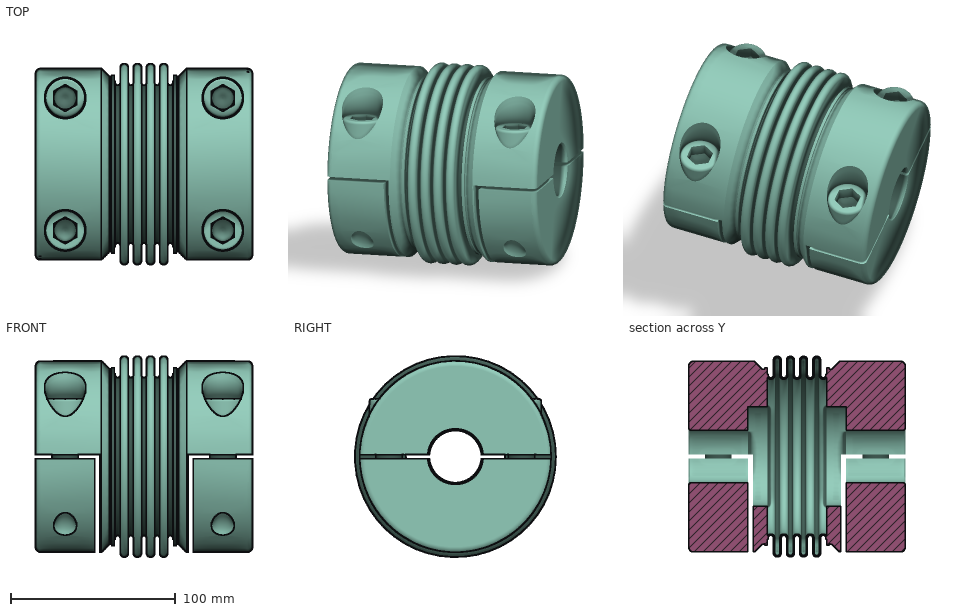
import cadquery as cq
import math


half_length = 65.8
hub_diameter = 116.0
hub_radius = hub_diameter / 2
rim_fillet = 3.2
neck_radius = 106.5 / 2
ring_radius = 108.0 / 2
shoulder_x = 25.8
neck_end_x = 19.6
neck_chamfer = 0.4
ring_end_x = 18.0
bore_radius = 31.6 / 2
bore_chamfer = 1.0
cavity_radius = 30.0

split_height = 2.5
cut_outer_x = 29.7
cut_inner_x = 26.7

screw_x = 47.8
screw_y = 40.1
head_radius = 24.0 / 2
head_top_z = 35.0
head_height = 16.0
head_fillet = 1.6
counterbore_radius = 25.0 / 2
shank_radius = 16.0 / 2
clearance_radius = 17.0 / 2
tapped_radius = 13.8 / 2
screw_end_z = -26.3
hex_flats = 14.0
hex_depth = 8.0
hex_cone_depth = 4.0
seat_z = head_top_z - head_height

wave_count = 4
bellows_radius = 122.0 / 2
root_radius = 47.9
wavy_length = 31.8
pitch = wavy_length / wave_count
bellows_wall = 1.0
crest_round = pitch / 4 + bellows_wall / 2
root_round = pitch / 4 - bellows_wall / 2
end_wall_radius = 50.3


def cylinder(radius, z_low, z_high, x, y):
    """Upright cylinder between two heights."""
    return cq.Workplane("XY", origin=(x, y, z_low)).circle(radius).extrude(z_high - z_low)


def slab(x_low, x_high, z_low, z_high):
    """Block that spans the whole hub in Y."""
    return (
        cq.Workplane("XY")
        .box(x_high - x_low, hub_diameter, z_high - z_low, centered=(False, True, False))
        .translate((x_low, 0, z_low))
    )


def hub_body():
    """Turned hub with its bore, cavity, neck and weld ring."""
    chamfer = hub_radius - neck_radius
    fillet_middle = rim_fillet * (1 - math.sqrt(0.5))
    profile = (
        cq.Workplane("XY")
        .moveTo(-half_length, bore_radius + bore_chamfer)
        .lineTo(-half_length, hub_radius - rim_fillet)
        .threePointArc(
            (-half_length + fillet_middle, hub_radius - fillet_middle),
            (-half_length + rim_fillet, hub_radius),
        )
        .lineTo(-shoulder_x, hub_radius)
        .lineTo(-shoulder_x + chamfer, neck_radius)
        .lineTo(-neck_end_x - neck_chamfer, neck_radius)
        .lineTo(-neck_end_x, neck_radius - neck_chamfer)
        .lineTo(-neck_end_x, ring_radius)
        .lineTo(-ring_end_x, ring_radius)
        .lineTo(-ring_end_x, cavity_radius)
        .lineTo(-cut_outer_x, cavity_radius)
        .lineTo(-cut_outer_x, bore_radius)
        .lineTo(-half_length + bore_chamfer, bore_radius)
        .close()
    )
    return profile.revolve(360, (0, 0, 0), (1, 0, 0))


def clamp_slots():
    """Horizontal split, and the cross cut below it."""
    split = slab(-half_length, -cut_inner_x, -split_height / 2, split_height / 2)
    cross_cut = slab(-cut_outer_x, -cut_inner_x, -hub_radius, split_height / 2)
    return split.union(cross_cut)


def screw_hole(y):
    """Counterbore and clearance hole above the split, tapped hole below it."""
    counterbore = cylinder(counterbore_radius, seat_z, hub_radius, -screw_x, y)
    clearance = cylinder(clearance_radius, 0, seat_z, -screw_x, y)
    tapped = cylinder(tapped_radius, -hub_radius, 0, -screw_x, y)
    return counterbore.union(clearance).union(tapped)


def hex_socket(y):
    """Hexagonal recess with corners along Y and a drill cone in its floor."""
    floor_z = head_top_z - hex_depth
    hexagon = (
        cq.Workplane("XY", origin=(-screw_x, y, floor_z))
        .transformed(rotate=(0, 0, 90))
        .polygon(6, 2 * hex_flats / math.sqrt(3))
        .extrude(hex_depth)
    )
    drill_cone = cq.Workplane(
        cq.Solid.makeCone(
            hex_flats / 2, 0, hex_cone_depth, pnt=cq.Vector(-screw_x, y, floor_z), dir=cq.Vector(0, 0, -1)
        )
    )
    return hexagon.union(drill_cone)


def screw(y):
    """Socket head cap screw."""
    head = cylinder(head_radius, seat_z, head_top_z, -screw_x, y).faces(">Z").edges().fillet(head_fillet)
    shank = cylinder(shank_radius, screw_end_z, seat_z, -screw_x, y)
    return head.union(shank).cut(hex_socket(y))


def wavy_core(inset):
    """Solid of revolution bounded by the surface that lies `inset` below the bellows' outer one."""
    crest = crest_round - inset
    root = root_round + inset
    crest_centre = bellows_radius - crest_round
    root_centre = root_radius + root_round
    end_x = wavy_length / 2 + root

    path = cq.Workplane("XY").moveTo(-end_x, 0)
    for wave in range(wave_count + 1):
        root_x = (wave - wave_count / 2) * pitch
        crest_x = root_x + pitch / 2
        path = (
            path.lineTo(root_x - root, root_centre)
            .threePointArc((root_x, root_centre - root), (root_x + root, root_centre))
        )
        if wave < wave_count:
            path = (
                path.lineTo(crest_x - crest, crest_centre)
                .threePointArc((crest_x, crest_centre + crest), (crest_x + crest, crest_centre))
            )
    path = path.lineTo(end_x, 0).close()
    return path.revolve(360, (0, 0, 0), (1, 0, 0))


def bellows():
    """Thin wavy tube whose flat end walls lap into the weld rings."""
    end_wall_x = wavy_length / 2 + root_round
    end_wall = cq.Workplane("YZ", origin=(end_wall_x, 0, 0)).circle(end_wall_radius).extrude(bellows_wall)
    filled = wavy_core(0).union(end_wall).union(end_wall.mirror("YZ"))
    return filled.cut(wavy_core(bellows_wall))


def clamping_hub():
    """Complete -X hub with both of its screws."""
    hub = hub_body().cut(clamp_slots())
    for y in (-screw_y, screw_y):
        hub = hub.cut(screw_hole(y)).union(screw(y))
    return hub


left_hub = clamping_hub()
right_hub = left_hub.mirror("YZ")
result = left_hub.union(bellows()).union(right_hub)